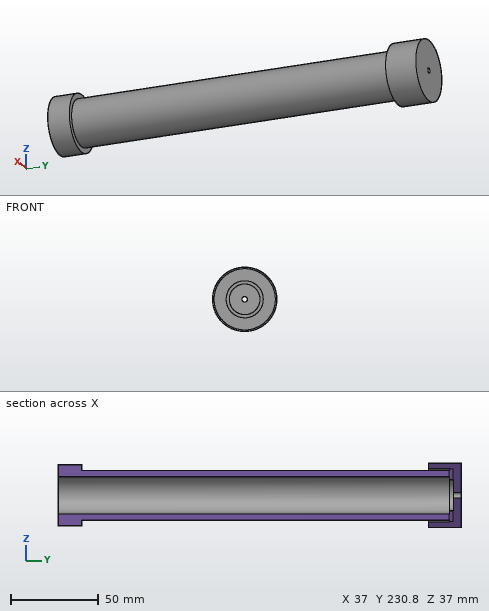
import cadquery as cq

total_length = 230.8

barrel_diameter = 28.5
barrel_bore = 21.2
collar_diameter = 35.0
collar_length = 13.5

cap_diameter = 37.0
cap_length = 19.0
cap_socket = 30.5
cap_floor = 4.5
vent_diameter = 3.0

washer_hole = 17.5
washer_thickness = 2.3

front_y = -total_length / 2
rear_y = total_length / 2
collar_rear_y = front_y + collar_length
cap_front_y = rear_y - cap_length
cap_floor_y = rear_y - cap_floor
barrel_rear_y = cap_floor_y - washer_thickness


def cylinder(diameter, start_y, end_y):
    """Solid cylinder on the Y axis between two Y positions."""
    plane = cq.Plane(origin=(0, start_y, 0), xDir=(1, 0, 0), normal=(0, 1, 0))
    return cq.Workplane(plane).circle(diameter / 2).extrude(end_y - start_y)


def make_barrel():
    """Long tube with a collar at its front end and one straight bore."""
    body = cylinder(barrel_diameter, front_y, barrel_rear_y)
    collar = cylinder(collar_diameter, front_y, collar_rear_y)
    bore = cylinder(barrel_bore, front_y, barrel_rear_y)
    return body.union(collar).cut(bore)


def make_washer():
    """Ring held between the rear end of the barrel and the cap floor."""
    body = cylinder(cap_socket, barrel_rear_y, cap_floor_y)
    return body.cut(cylinder(washer_hole, barrel_rear_y, cap_floor_y))


def make_cap():
    """Rear cap: a loose socket around the barrel and a small vent in the floor."""
    body = cylinder(cap_diameter, cap_front_y, rear_y)
    socket = cylinder(cap_socket, cap_front_y, cap_floor_y)
    vent = cylinder(vent_diameter, cap_floor_y, rear_y)
    return body.cut(socket).cut(vent)


barrel = make_barrel()
washer = make_washer()
cap = make_cap()

result = cq.Compound.makeCompound([barrel.val(), washer.val(), cap.val()])